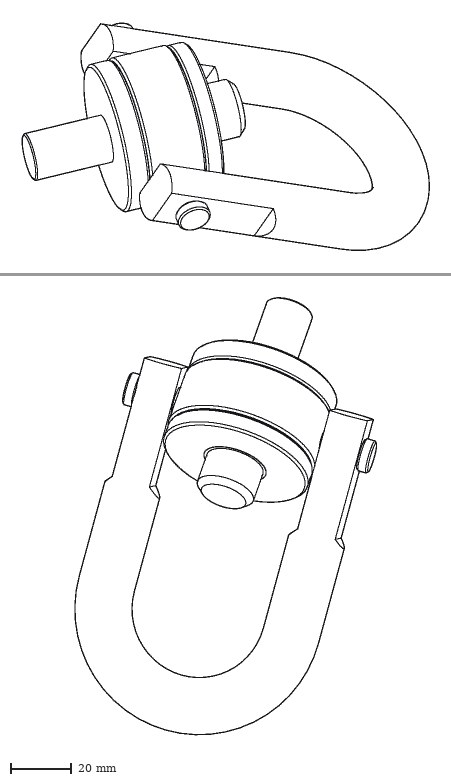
import cadquery as cq


body_diameter = 51.0
body_width = 19.5
body_chamfer = 0.8

shank_diameter = 16.0
shank_length = 26.8
shank_chamfer = 0.5
flange_diameter = 50.2
flange_thickness = 7.5
rim_chamfer = 0.8
post_diameter = 19.6
post_projection = 12.75
post_end_diameter = 15.5
post_chamfer_length = 2.1
hub_diameter = 21.6
hub_projection = 0.1

washer_thickness = 6.15

bar_diameter = 19.0
leg_spacing = 63.9
leg_straight = 64.18
leg_end = 11.75
flat_inner = 25.7
flat_outer = 38.7
flat_length = 29.0
shackle_tilt = 30.0

pin_diameter = 10.0
pin_head_diameter = 11.1
pin_span = 85.09
pin_head_chamfer = 0.6
pin_depth = 8.0

body_front = -body_width / 2
body_rear = body_width / 2
flange_front = body_front - flange_thickness
shank_tip = flange_front - shank_length
washer_rear = body_rear + washer_thickness
hub_end = washer_rear + hub_projection
post_end = washer_rear + post_projection
bend_radius = leg_spacing / 2
pin_inner_end = body_diameter / 2 - pin_depth
sides = (-1, 1)


def cylinder_y(diameter, start, end):
    """Cylinder on the Y axis between two Y positions."""
    return cq.Workplane("XZ", origin=(0, start, 0)).circle(diameter / 2).extrude(start - end)


def cylinder_x(diameter, start, end):
    """Cylinder on the X axis between two X positions."""
    return cq.Workplane("YZ", origin=(start, 0, 0)).circle(diameter / 2).extrude(end - start)


def make_body():
    body = cylinder_y(body_diameter, body_front, body_rear).edges().chamfer(body_chamfer)
    body = body.cut(cylinder_y(hub_diameter, body_front, body_rear))
    for side in sides:
        body = body.cut(cylinder_x(pin_diameter, side * pin_inner_end, side * body_diameter / 2))
    return body


def make_washer():
    washer = cylinder_y(flange_diameter, body_rear, washer_rear).edges().chamfer(rim_chamfer)
    return washer.cut(cylinder_y(hub_diameter, body_rear, washer_rear))


def make_stud():
    shank = cylinder_y(shank_diameter, shank_tip, flange_front).faces("<Y").chamfer(shank_chamfer)
    flange = cylinder_y(flange_diameter, flange_front, body_front).edges().chamfer(rim_chamfer)
    hub = cylinder_y(hub_diameter, body_front, hub_end)
    post_chamfer_depth = (post_diameter - post_end_diameter) / 2
    post = (
        cylinder_y(post_diameter, hub_end, post_end)
        .faces(">Y")
        .edges()
        .chamfer(post_chamfer_length, post_chamfer_depth)
    )
    return flange.union(shank).union(hub).union(post)


def flat_cutter(side, flat, direction):
    """Prism beyond one flat of a leg, ending in a 45 degree shoulder."""
    reach = bar_diameter
    far = flat + direction * reach
    return (
        cq.Workplane("XY")
        .moveTo(side * flat, -reach)
        .lineTo(side * flat, flat_length)
        .lineTo(side * far, flat_length + reach)
        .lineTo(side * far, -reach)
        .close()
        .extrude(bar_diameter, both=True)
    )


def make_shackle():
    path = (
        cq.Workplane("XY")
        .moveTo(-bend_radius, -leg_end)
        .lineTo(-bend_radius, leg_straight)
        .threePointArc((0, leg_straight + bend_radius), (bend_radius, leg_straight))
        .lineTo(bend_radius, -leg_end)
    )
    start = (-bend_radius, -leg_end, 0)
    shackle = cq.Workplane("XZ", origin=start).circle(bar_diameter / 2).sweep(path)
    for side in sides:
        shackle = shackle.cut(flat_cutter(side, flat_outer, 1))
        shackle = shackle.cut(flat_cutter(side, flat_inner, -1))
        shackle = shackle.cut(cylinder_x(pin_diameter, side * flat_inner, side * flat_outer))
    return shackle.rotate((0, 0, 0), (1, 0, 0), -shackle_tilt)


def make_pin(side):
    shank = cylinder_x(pin_diameter, side * pin_inner_end, side * flat_outer)
    head = cylinder_x(pin_head_diameter, side * flat_outer, side * pin_span / 2)
    return shank.union(head.edges().chamfer(pin_head_chamfer))


body = make_body()
washer = make_washer()
stud = make_stud()
shackle = make_shackle()
pins = [make_pin(side) for side in sides]

result = cq.Compound.makeCompound(
    [body.val(), washer.val(), stud.val(), shackle.val(), *[pin.val() for pin in pins]]
)